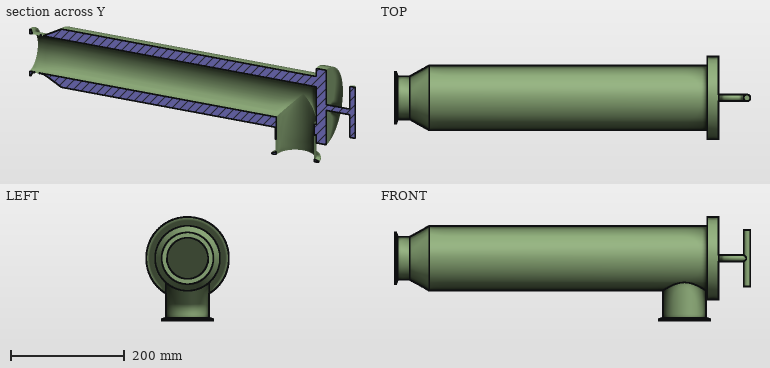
import cadquery as cq
import math


body_diameter = 114.3
body_start = 61.0
flange_diameter = 146.0
flange_thickness = 20.0
flange_start = 550.0
flange_end = flange_start + flange_thickness

pipe_diameter = 76.3
pipe_wall = 2.0
bore_diameter = pipe_diameter - 2 * pipe_wall
inlet_pipe_end = 27.0
outlet_x = 510.0
outlet_drop = 110.0

ferrule_diameter = 91.0
ferrule_rim = 2.85
ferrule_taper_angle = 20.0
ferrule_taper = (ferrule_diameter - pipe_diameter) / 2 * math.tan(math.radians(ferrule_taper_angle))

handle_diameter = 12.0
handle_length = 100.0
overall_length = 626.1
handle_x = overall_length - handle_diameter / 2


def ferrule_pipe(length):
    """Solid pipe along +Z with a tapered clamp ferrule on its lower end."""
    pipe_radius = pipe_diameter / 2
    ferrule_radius = ferrule_diameter / 2
    profile = (
        cq.Workplane("XZ")
        .lineTo(ferrule_radius, 0)
        .lineTo(ferrule_radius, ferrule_rim)
        .lineTo(pipe_radius, ferrule_rim + ferrule_taper)
        .lineTo(pipe_radius, length)
        .lineTo(0, length)
        .close()
    )
    return profile.revolve(360, (0, 0, 0), (0, 1, 0))


def rod_along_x(diameter, start, end):
    return cq.Workplane("YZ", origin=(start, 0, 0)).circle(diameter / 2).extrude(end - start)


def inlet():
    """Inlet pipe turned onto the main axis."""
    return ferrule_pipe(inlet_pipe_end).rotate((0, 0, 0), (0, 1, 0), 90)


def reducer():
    """Cone widening from the inlet pipe to the body."""
    return (
        cq.Workplane("YZ", origin=(inlet_pipe_end, 0, 0))
        .circle(pipe_diameter / 2)
        .workplane(offset=body_start - inlet_pipe_end)
        .circle(body_diameter / 2)
        .loft(ruled=True)
    )


def outlet():
    """Outlet pipe rising from its ferrule to the main axis."""
    return ferrule_pipe(outlet_drop).translate((outlet_x, 0, -outlet_drop))


def handle():
    """Stem out of the end flange with a vertical crossbar."""
    stem = rod_along_x(handle_diameter, flange_end, handle_x)
    crossbar = (
        cq.Workplane("XY", origin=(handle_x, 0, -handle_length / 2))
        .circle(handle_diameter / 2)
        .extrude(handle_length)
    )
    return stem.union(crossbar)


def flow_passage():
    """Straight inlet bore up to the closed end flange, met by the outlet bore."""
    main_bore = rod_along_x(bore_diameter, 0, flange_start)
    outlet_bore = (
        cq.Workplane("XY", origin=(outlet_x, 0, -outlet_drop))
        .circle(bore_diameter / 2)
        .extrude(outlet_drop)
    )
    return main_bore.union(outlet_bore)


housing = (
    rod_along_x(body_diameter, body_start, flange_start)
    .union(rod_along_x(flange_diameter, flange_start, flange_end))
    .union(reducer())
    .union(inlet())
    .union(outlet())
)
result = housing.cut(flow_passage()).union(handle())